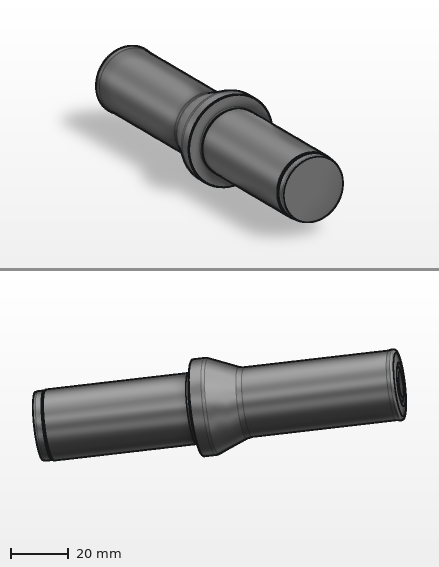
import cadquery as cq

LENGTH = 128.0
SHAFT_R = 24.5 / 2
BEARING_R = 25.0 / 2
COLLAR_R = 34.0 / 2

FACE_R = 11.1
FACE_RISE = 0.5
HEAD_SHOULDER_X = 0.8
HEAD_SHOULDER_R = 12.2
HEAD_R = BEARING_R
HEAD_WIDEST_X = 1.7
HEAD_END_X = 3.0

GROOVE_OUTER_R = 7.7
GROOVE_MIDDLE_R = 6.1
GROOVE_INNER_R = 4.6
GROOVE_DEPTH = 0.4
DIMPLE_DEPTH = 0.5

CONE_START_X = 55.2
CONE_END_X = 67.0
CONE_FOOT_FILLET = 5.1
CONE_RIM_FILLET = 3.1
COLLAR_END_X = 72.0
COLLAR_CHAMFER = 0.3

NECK_FILLET = 0.4
NECK_END_X = 73.0
NECK_TAPER = 0.8
CAP_START_X = 124.9
BEARING_END_X = 124.2
BEARING_TAPER = 0.4
CAP_CHAMFER_LENGTH = 0.9
CAP_CHAMFER_DEPTH = 0.3

SELECT_MARGIN = 0.1


def revolve_about_x(profile):
    """Turn a closed (x, radius) profile into a solid about the X axis."""
    return profile.close().revolve(360, (0, 0, 0), (1, 0, 0))


def make_shaft():
    """Shaft with striking head, conical collar and bearing length."""
    profile = (
        cq.Workplane("XY")
        .moveTo(DIMPLE_DEPTH, 0)
        .lineTo(0, GROOVE_INNER_R)
        .lineTo(GROOVE_DEPTH, GROOVE_MIDDLE_R)
        .lineTo(0, GROOVE_OUTER_R)
        .lineTo(FACE_RISE, FACE_R)
        .threePointArc((HEAD_SHOULDER_X, HEAD_SHOULDER_R), (HEAD_WIDEST_X, HEAD_R))
        .lineTo(HEAD_END_X, SHAFT_R)
        .lineTo(CONE_START_X, SHAFT_R)
        .lineTo(CONE_END_X, COLLAR_R)
        .lineTo(COLLAR_END_X - COLLAR_CHAMFER, COLLAR_R)
        .lineTo(COLLAR_END_X, COLLAR_R - COLLAR_CHAMFER)
        .lineTo(COLLAR_END_X, SHAFT_R)
        .lineTo(NECK_END_X, SHAFT_R)
        .lineTo(NECK_END_X + NECK_TAPER, BEARING_R)
        .lineTo(BEARING_END_X, BEARING_R)
        .lineTo(BEARING_END_X + BEARING_TAPER, SHAFT_R)
        .lineTo(CAP_START_X, SHAFT_R)
        .lineTo(CAP_START_X, 0)
    )
    return revolve_about_x(profile)


def make_cap():
    """Disc that closes the far end of the shaft."""
    profile = (
        cq.Workplane("XY")
        .moveTo(CAP_START_X, 0)
        .lineTo(CAP_START_X, SHAFT_R)
        .lineTo(LENGTH - CAP_CHAMFER_LENGTH, SHAFT_R)
        .lineTo(LENGTH, SHAFT_R - CAP_CHAMFER_DEPTH)
        .lineTo(LENGTH, 0)
    )
    return revolve_about_x(profile)


def circles_at(x, radius):
    """Selector box that holds the circular edge at the given x and radius."""
    reach = radius + SELECT_MARGIN
    low_corner = (x - SELECT_MARGIN, -reach, -reach)
    high_corner = (x + SELECT_MARGIN, reach, reach)
    return cq.selectors.BoxSelector(low_corner, high_corner, True)


shaft = make_shaft()
shaft = shaft.edges(circles_at(CONE_START_X, SHAFT_R)).fillet(CONE_FOOT_FILLET)
shaft = shaft.edges(circles_at(CONE_END_X, COLLAR_R)).fillet(CONE_RIM_FILLET)
shaft = shaft.edges(circles_at(COLLAR_END_X, SHAFT_R)).fillet(NECK_FILLET)
cap = make_cap()

result = cq.Compound.makeCompound([shaft.val(), cap.val()])